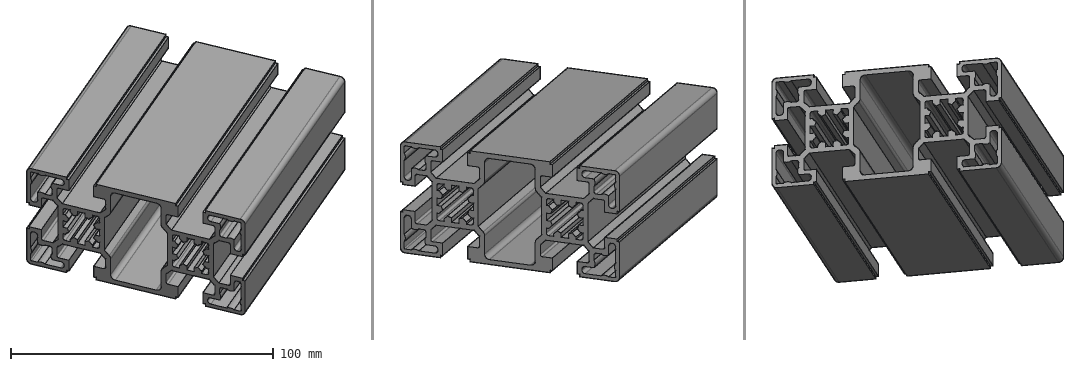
import cadquery as cq
import math

LENGTH = 100.0
HEIGHT = 45.0
WIDTH = 2 * HEIGHT
HALF = HEIGHT / 2
CORNER_RADIUS = 2.0

MOUTH_WIDTH = 10.2
MOUTH_STEP = 1.0
LIP_THICKNESS = 6.1
SLOT_WIDTH = 20.0
SLOT_CHAMFER = 2.2
SLOT_FILLET = 0.8

CORE_OUTER_HALF = 9.5
CORE_WALL = 2.0
CORE_INNER_HALF = CORE_OUTER_HALF - CORE_WALL
CORE_FILLET = 1.0
BORE_RADIUS = 5.9
TOOTH_GAP = 3.0
TOOTH_WIDTH = 3.1
DIAGONAL_GAP = 2.8

HOLLOW_OUTER_WALL = 1.6
HOLLOW_SLOT_WALL = 2.0
HOLLOW_OUTER = HALF - HOLLOW_OUTER_WALL
HOLLOW_INNER = SLOT_WIDTH / 2 + HOLLOW_SLOT_WALL
HOLLOW_ARM_WIDTH = 2.9
HOLLOW_ARM_SIDE = HOLLOW_OUTER - HOLLOW_ARM_WIDTH
HOLLOW_ARM_END = MOUTH_WIDTH / 2 + HOLLOW_SLOT_WALL
HOLLOW_OUTER_FILLET = 0.5
HOLLOW_INNER_FILLET = 1.0
ARM_END_FILLET = 1.3
RIDGE_HEIGHT = 0.45
RIDGE_CENTER = (HOLLOW_OUTER + HOLLOW_INNER) / 2
RIDGE_START = HOLLOW_ARM_SIDE
RIDGE_END = 2 * RIDGE_CENTER - RIDGE_START

CHAMBER_HALF_WIDTH = 10.4
CHAMBER_WALL = 2.0
CHAMBER_FILLET = 2.0
CHAMBER_HALF_HEIGHT = HALF - CHAMBER_WALL
WAIST_HALF_WIDTH = HALF - CORE_OUTER_HALF
WAIST_HALF_HEIGHT = 7.6
WAIST_FILLET = 2.0
WAIST_TAPER = WAIST_HALF_WIDTH - CHAMBER_HALF_WIDTH


def bar(width, height, x=0, z=0):
    """Rectangular bar along Y, centred at (x, z)."""
    return cq.Workplane("XZ").center(x, z).rect(width, height).extrude(LENGTH / 2, both=True)


def turn(body, angle):
    """Turn a body about the Y axis."""
    return body.rotate((0, 0, 0), (0, 1, 0), angle)


def t_slot():
    """T-slot opening on the +Z face of a cell centred at the origin."""
    half_slot = SLOT_WIDTH / 2
    half_floor = half_slot - SLOT_CHAMFER
    lip_bottom = HALF - LIP_THICKNESS
    taper_top = CORE_OUTER_HALF + SLOT_CHAMFER
    pocket = (
        cq.Workplane("XZ")
        .polyline([
            (-half_floor, CORE_OUTER_HALF),
            (half_floor, CORE_OUTER_HALF),
            (half_slot, taper_top),
            (half_slot, lip_bottom),
            (-half_slot, lip_bottom),
            (-half_slot, taper_top),
        ])
        .close()
        .extrude(LENGTH / 2, both=True)
        .edges("|Y").edges(">Z").fillet(SLOT_FILLET)
    )
    mouth_depth = HALF - CORE_OUTER_HALF
    mouth = bar(MOUTH_WIDTH, mouth_depth, z=HALF - mouth_depth / 2)
    step = bar(MOUTH_WIDTH + 2 * MOUTH_STEP, MOUTH_STEP, z=HALF - MOUTH_STEP / 2)
    return pocket.union(mouth).union(step)


def core_bore():
    """Round bore with gaps cut between eight teeth, centred at the origin."""
    bore = cq.Workplane("XZ").circle(BORE_RADIUS).extrude(LENGTH / 2, both=True)
    side = 2 * CORE_INNER_HALF
    bore = bore.union(bar(side, TOOTH_GAP)).union(bar(TOOTH_GAP, side))
    pocket_start = TOOTH_GAP / 2 + TOOTH_WIDTH
    pocket_size = CORE_INNER_HALF - pocket_start
    pocket_center = CORE_INNER_HALF - pocket_size / 2
    corner = bar(pocket_size, pocket_size, pocket_center, pocket_center)
    corner = corner.edges("|Y").edges(">X").edges(">Z").fillet(CORE_FILLET)
    diagonal_length = pocket_center * math.sqrt(2)
    diagonal = turn(bar(diagonal_length, DIAGONAL_GAP, x=diagonal_length / 2), -45)
    gap = corner.union(diagonal)
    for quarter in range(4):
        bore = bore.union(turn(gap, 90 * quarter))
    return bore


def corner_hollow():
    """L-shaped hollow in the (-X, +Z) corner of a cell centred at the origin."""
    outer, inner = HOLLOW_OUTER, HOLLOW_INNER
    side, end = HOLLOW_ARM_SIDE, HOLLOW_ARM_END
    outer_peak = outer - RIDGE_HEIGHT
    inner_peak = inner + RIDGE_HEIGHT
    hollow = (
        cq.Workplane("XZ")
        .moveTo(-outer, end)
        .lineTo(-outer, RIDGE_END)
        .threePointArc((-outer_peak, RIDGE_CENTER), (-outer, RIDGE_START))
        .lineTo(-outer, outer)
        .lineTo(-RIDGE_START, outer)
        .threePointArc((-RIDGE_CENTER, outer_peak), (-RIDGE_END, outer))
        .lineTo(-end, outer)
        .lineTo(-end, side)
        .lineTo(-inner, side)
        .threePointArc((-inner_peak, RIDGE_CENTER), (-inner, RIDGE_END))
        .lineTo(-inner, inner)
        .lineTo(-RIDGE_END, inner)
        .threePointArc((-RIDGE_CENTER, inner_peak), (-side, inner))
        .lineTo(-side, end)
        .close()
        .extrude(LENGTH / 2, both=True)
    )
    hollow = hollow.edges("|Y").edges("<Z").fillet(ARM_END_FILLET)
    hollow = hollow.edges("|Y").edges(">X").fillet(ARM_END_FILLET)
    for corner, radius in ((outer, HOLLOW_OUTER_FILLET), (inner, HOLLOW_INNER_FILLET)):
        nearest = cq.selectors.NearestToPointSelector((-corner, 0, corner))
        hollow = hollow.edges("|Y").edges(nearest).fillet(radius)
    return hollow


def cell_cuts():
    """Everything cut from the left-hand cell, placed at its centre."""
    slot = t_slot()
    cuts = core_bore()
    for angle in (0, 180, -90):
        cuts = cuts.union(turn(slot, angle))
    hollow = corner_hollow()
    cuts = cuts.union(hollow).union(hollow.mirror("XY"))
    return cuts.translate((-HALF, 0, 0))


def central_chamber():
    """Tall chamber that widens between the two core tubes."""
    tall = bar(2 * CHAMBER_HALF_WIDTH, 2 * CHAMBER_HALF_HEIGHT)
    tall = tall.edges("|Y").fillet(CHAMBER_FILLET)
    waist = bar(2 * WAIST_HALF_WIDTH, 2 * (WAIST_HALF_HEIGHT + WAIST_TAPER))
    waist = waist.edges("|Y").chamfer(WAIST_TAPER)
    chamber = tall.union(waist)
    corner_z = WAIST_HALF_HEIGHT + WAIST_TAPER
    for side_x in (-CHAMBER_HALF_WIDTH, CHAMBER_HALF_WIDTH):
        for level in (-corner_z, corner_z):
            nearest = cq.selectors.NearestToPointSelector((side_x, 0, level))
            chamber = chamber.edges("|Y").edges(nearest).fillet(WAIST_FILLET)
    return chamber


left_cuts = cell_cuts()
profile = bar(WIDTH, HEIGHT).edges("|Y").fillet(CORNER_RADIUS)
result = profile.cut(left_cuts).cut(left_cuts.mirror("YZ")).cut(central_chamber())